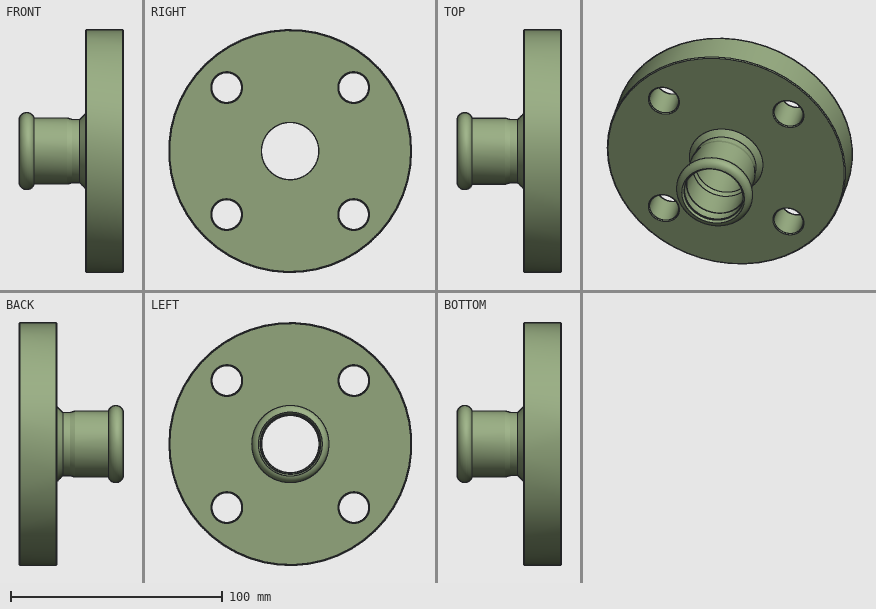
import cadquery as cq
import math

total_length = 49.5
flange_diameter = 115.0
flange_thickness = 17.9
edge_chamfer = 0.5
flange_face_x = total_length - flange_thickness

bolt_count = 4
bolt_circle_diameter = 85.0
bolt_hole_diameter = 14.0

bead_radius = 3.7
bead_outer_radius = 18.3
socket_radius = 31.4 / 2
socket_end_x = 22.9
neck_radius = 30.0 / 2
neck_start_x = 25.3
weld_start_x = 28.8
weld_radius = neck_radius + flange_face_x - weld_start_x

mouth_radius = 30.2 / 2
pipe_radius = 28.8 / 2
rim_radius = 28.4 / 2
front_rim_start_x = 1.2
front_rim_end_x = 2.2
groove_start_x = 2.3
groove_end_x = 5.2
rear_rim_start_x = 6.7
rear_rim_end_x = 7.6
bore_radius = 27.0 / 2

bead_center_radius = bead_outer_radius - bead_radius


def bead_half_width(radius):
    """Half the axial width of the bead at a given distance from the axis."""
    return math.sqrt(bead_radius**2 - (radius - bead_center_radius)**2)


bead_front_x = bead_radius - bead_half_width(mouth_radius)
bead_back_x = bead_radius + bead_half_width(socket_radius)


def revolve_about_x(profile):
    """Close a half section (x, radius) and revolve it about the X axis."""
    return profile.close().revolve(360, (0, 0, 0), (1, 0, 0))


def make_socket_and_flange():
    profile = (
        cq.Workplane("XY")
        .moveTo(bead_front_x, mouth_radius)
        .threePointArc((bead_radius, bead_outer_radius), (bead_back_x, socket_radius))
        .lineTo(socket_end_x, socket_radius)
        .lineTo(neck_start_x, neck_radius)
        .lineTo(weld_start_x, neck_radius)
        .lineTo(flange_face_x, weld_radius)
        .lineTo(flange_face_x, flange_diameter / 2 - edge_chamfer)
        .lineTo(flange_face_x + edge_chamfer, flange_diameter / 2)
        .lineTo(total_length - edge_chamfer, flange_diameter / 2)
        .lineTo(total_length, flange_diameter / 2 - edge_chamfer)
        .lineTo(total_length, bore_radius)
        .lineTo(neck_start_x, bore_radius)
        .lineTo(socket_end_x, pipe_radius)
        .lineTo(rear_rim_end_x, pipe_radius)
        .lineTo(rear_rim_end_x, rim_radius)
        .lineTo(rear_rim_start_x, rim_radius)
        .lineTo(groove_end_x, pipe_radius)
        .lineTo(groove_start_x, pipe_radius)
        .lineTo(front_rim_end_x, rim_radius)
        .lineTo(front_rim_start_x, rim_radius)
    )
    return revolve_about_x(profile)


def make_bolt_hole_cutter():
    """One through hole on the X axis, chamfered at both flange faces."""
    hole_radius = bolt_hole_diameter / 2
    hole_mouth_radius = hole_radius + edge_chamfer
    profile = (
        cq.Workplane("XY")
        .moveTo(flange_face_x, 0)
        .lineTo(flange_face_x, hole_mouth_radius)
        .lineTo(flange_face_x + edge_chamfer, hole_radius)
        .lineTo(total_length - edge_chamfer, hole_radius)
        .lineTo(total_length, hole_mouth_radius)
        .lineTo(total_length, 0)
    )
    return revolve_about_x(profile)


result = make_socket_and_flange()
first_hole = make_bolt_hole_cutter().translate((0, bolt_circle_diameter / 2, 0))
for index in range(bolt_count):
    angle = (index + 0.5) * 360 / bolt_count
    result = result.cut(first_hole.rotate((0, 0, 0), (1, 0, 0), angle))